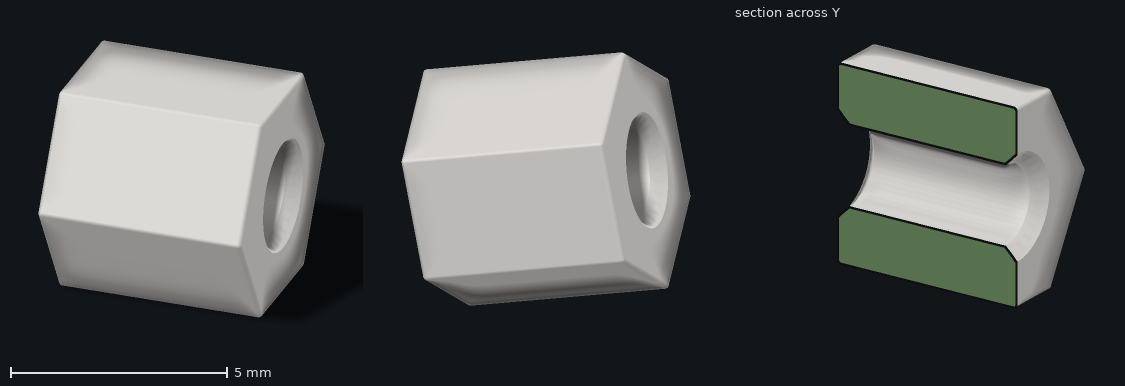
import cadquery as cq
import math

length = 5.0
across_flats = 5.0
edge_radius = 0.1

bore_diameter = 2.05
countersink_diameter = 2.7
countersink_angle = 90.0

across_corners = across_flats / math.cos(math.radians(30))
bore_radius = bore_diameter / 2
countersink_radius = countersink_diameter / 2
countersink_depth = (countersink_radius - bore_radius) / math.tan(math.radians(countersink_angle / 2))


def hexagonal_body():
    """Hexagonal bar centred on the origin, with every outer edge rounded."""
    bar = cq.Workplane("YZ").polygon(6, across_corners).extrude(length / 2, both=True)
    return bar.edges().fillet(edge_radius)


def countersunk_bore():
    """Solid of revolution about X that fills the bore and both countersinks."""
    end = length / 2
    bore_end = end - countersink_depth
    half_section = [
        (-end, 0),
        (-end, countersink_radius),
        (-bore_end, bore_radius),
        (bore_end, bore_radius),
        (end, countersink_radius),
        (end, 0),
    ]
    return cq.Workplane("XY").polyline(half_section).close().revolve(360, (0, 0, 0), (1, 0, 0))


result = hexagonal_body().cut(countersunk_bore())